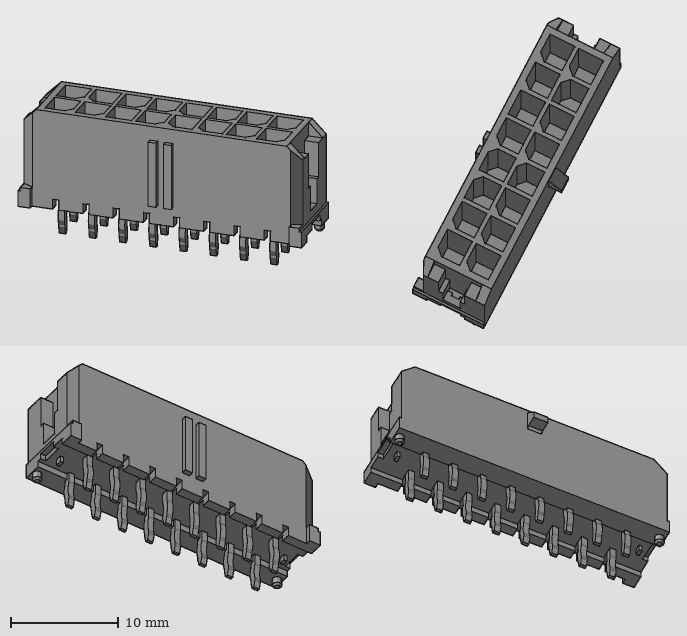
import cadquery as cq


total_length = 28.15
tower_length = 27.7
core_length = 24.88
housing_width = 6.92
housing_height = 9.9
tower_height = 8.5
tower_wall = 0.95
plate_height = 1.6
mid_y = housing_width / 2
end_x = total_length / 2
tower_x = tower_length / 2
core_x = core_length / 2

foot_length = 1.2
foot_height = 1.97
front_projection = 0.5
bevel_length = 1.05
bevel_width = 0.5

slot_width = 2.73
slot_step_height = 5.0
keyway_width = 1.8
keyway_floor = 2.48

anchor_inset = 1.2
anchor_lip_inset = 0.93
anchor_lip_width = 0.8
anchor_pocket_floor = 1.91
tab_inset = 1.3
tab_width = 0.65

recess_depth = 0.55
recess_width = 2.08
recess_top = 1.27

channel_front = 0.95
channel_back = 4.95
channel_height = 0.68

columns = 8
row_length = 21.0
pitch = row_length / (columns - 1)
row_centres = (mid_y - pitch / 2, mid_y + pitch / 2)
cavity_size = 2.6
cavity_chamfer = 0.68
cavity_floor = keyway_floor
front_row_keys = "RRNRLLRR"
back_row_keys = "RLRRLRRR"

tail_width = 0.62
tail_thickness = 0.68
tail_tip_thickness = 0.3
tail_bow = 0.15
bow_top = -0.5
bow_bottom = -2.2
taper_top = -2.48
tail_tip = -3.18
tail_root = 1.4
tail_notch_height = 1.0

rib_width = 0.8
rib_offset = 0.75
latch_width = 1.45
latch_projection = 1.35
latch_top = 9.55
latch_tip_top = latch_top - latch_projection
latch_bottom = 7.4
latch_chamfer = 0.23
peg_diameter = 0.9
peg_length = 0.87
peg_chamfer = 0.2
peg_inset = 0.53
peg_y = 5.88


def box(x_range, y_range, z_range):
    """Box between the given pairs of limits."""
    (x0, x1), (y0, y1), (z0, z1) = x_range, y_range, z_range
    return cq.Workplane("XY").box(x1 - x0, y1 - y0, z1 - z0, centered=False).translate((x0, y0, z0))


def around(centre, width):
    """Limits of a width centred on a position."""
    return centre - width / 2, centre + width / 2


def on_both_ends(left_feature):
    """The left-end feature together with its mirror image at the right end."""
    return left_feature.union(left_feature.mirror("YZ"))


def column_positions():
    return [-row_length / 2 + i * pitch for i in range(columns)]


def housing_body():
    outline = [
        (-end_x, 0),
        (-end_x, plate_height),
        (-tower_x, plate_height),
        (-tower_x, tower_height),
        (-core_x, housing_height),
        (core_x, housing_height),
        (tower_x, tower_height),
        (tower_x, plate_height),
        (end_x, plate_height),
        (end_x, 0),
    ]
    return cq.Workplane("XZ").polyline(outline).close().extrude(-housing_width)


def corner_bevel():
    """Vertical bevel on the front corner, above the foot."""
    triangle = [
        (-tower_x, 0),
        (-tower_x + bevel_length, 0),
        (-tower_x, bevel_width),
    ]
    bevel = cq.Workplane("XY").polyline(triangle).close().extrude(housing_height - foot_height)
    return bevel.translate((0, 0, foot_height))


def front_foot():
    """Foot that carries the base plate forward at the front corner."""
    plate = box((-end_x, -tower_x), (-front_projection, 0), (0, plate_height))
    block = box((-tower_x, -end_x + foot_length), (-front_projection, 0), (0, foot_height))
    return plate.union(block)


def tower_slot():
    """Opening between the tower walls, narrowing in two steps down to the keyway floor."""
    x_range = (-end_x, -core_x)
    top = box(x_range, (tower_wall, housing_width - tower_wall), (tower_height, housing_height))
    slot = box(x_range, around(mid_y, slot_width), (slot_step_height, tower_height))
    keyway = box(x_range, around(mid_y, keyway_width), (keyway_floor, slot_step_height))
    return top.union(slot).union(keyway)


def anchor_pocket():
    """T-shaped pocket sunk into the keyway floor against the core."""
    z_range = (anchor_pocket_floor, keyway_floor)
    slit = box((-end_x + anchor_inset, -core_x), around(mid_y, keyway_width), z_range)
    lip = box((-end_x + anchor_lip_inset, -core_x), around(mid_y, anchor_lip_width), z_range)
    return slit.union(lip)


def plate_recess():
    """Shallow recess in the end plate, open to the underside channel."""
    x_range = (-end_x, -end_x + recess_depth)
    return box(x_range, around(mid_y, recess_width), (0, recess_top))


def anchor_tab():
    """Tab hanging from the channel roof below the anchor pocket."""
    return box((-end_x + tab_inset, -core_x), around(mid_y, tab_width), (0, channel_height))


def cavities():
    """Square contact cavities with their keying chamfers."""
    half = cavity_size / 2
    depth = housing_height - cavity_floor
    all_cavities = cq.Workplane("XY")
    for row_y, keys in zip(row_centres, (front_row_keys, back_row_keys)):
        for x, key in zip(column_positions(), keys):
            outline = [(half, half), (-half, half)]
            if key == "L":
                outline += [(-half, -half + cavity_chamfer), (-half + cavity_chamfer, -half)]
            else:
                outline.append((-half, -half))
            if key == "R":
                outline += [(half - cavity_chamfer, -half), (half, -half + cavity_chamfer)]
            else:
                outline.append((half, -half))
            cavity = cq.Workplane("XY").polyline(outline).close().extrude(depth)
            all_cavities = all_cavities.add(cavity.translate((x, row_y, cavity_floor)))
    return all_cavities.combine()


def tail_notch(x):
    """Notch through the front wall, as wide as the tail behind it."""
    return box(around(x, tail_width), (0, row_centres[0]), (0, tail_notch_height))


def solder_tail(x):
    """Front-row tail, bowed towards the front and tapered to its tip."""
    half = tail_thickness / 2
    tip_half = tail_tip_thickness / 2
    bow_middle = (bow_top + bow_bottom) / 2
    profile = (
        cq.Workplane("YZ")
        .moveTo(-half, tail_root)
        .lineTo(-half, bow_top)
        .threePointArc((-half - tail_bow, bow_middle), (-half, bow_bottom))
        .lineTo(-half, taper_top)
        .lineTo(-tip_half, tail_tip)
        .lineTo(tip_half, tail_tip)
        .lineTo(half, taper_top)
        .lineTo(half, bow_bottom)
        .threePointArc((half - tail_bow, bow_middle), (half, bow_top))
        .lineTo(half, tail_root)
        .close()
    )
    tail = profile.extrude(tail_width / 2, both=True)
    return tail.translate((x, row_centres[0], 0))


def front_rib(side):
    return box(around(side * rib_offset, rib_width), (-front_projection, 0), (foot_height, tower_height))


def latch():
    """Ramped catch on the back face."""
    back = housing_width
    tip = housing_width + latch_projection
    profile = [
        (back, latch_top),
        (tip, latch_tip_top),
        (tip, latch_bottom),
        (back + latch_chamfer, latch_bottom),
        (back, latch_bottom - latch_chamfer),
    ]
    return cq.Workplane("YZ").polyline(profile).close().extrude(latch_width / 2, both=True)


def locating_peg():
    peg = cq.Workplane("XY").circle(peg_diameter / 2).extrude(-peg_length)
    peg = peg.faces("<Z").chamfer(peg_chamfer)
    return peg.translate((-end_x + peg_inset, peg_y, 0))


result = housing_body()
result = result.cut(on_both_ends(corner_bevel()))
result = result.union(on_both_ends(front_foot()))
result = result.cut(on_both_ends(tower_slot()))
result = result.cut(box((-end_x, end_x), (channel_front, channel_back), (0, channel_height)))
result = result.cut(on_both_ends(anchor_pocket()))
result = result.cut(on_both_ends(plate_recess()))
result = result.cut(cavities())

for rib_side in (-1, 1):
    result = result.union(front_rib(rib_side))
result = result.union(latch())
result = result.union(on_both_ends(locating_peg()))

result = result.union(on_both_ends(anchor_tab()))
for column_x in column_positions():
    front_tail = solder_tail(column_x)
    back_tail = front_tail.mirror("XZ", (0, mid_y, 0))
    result = result.cut(tail_notch(column_x)).union(front_tail).union(back_tail)